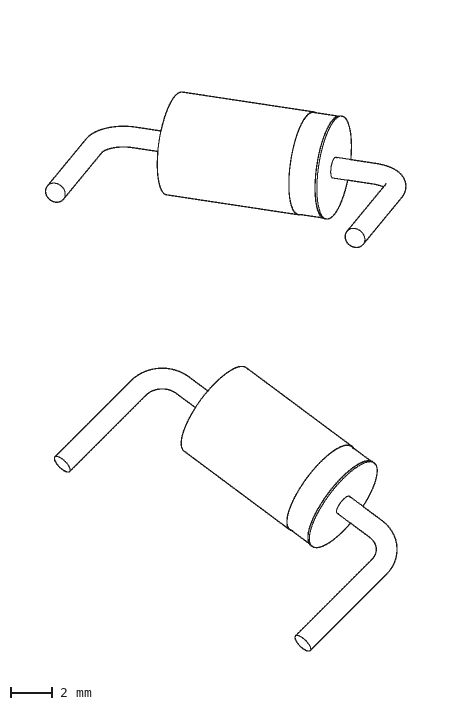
import cadquery as cq

overall_width = 16.24
overall_depth = 9.6

body_diameter = 5.0
body_length = 8.12

band_diameter = 4.95
band_start = 2.63
band_end = 3.96

wire_diameter = 1.0
bend_radius = 1.5

body_radius = body_diameter / 2
lead_x = (overall_width - wire_diameter) / 2
lead_tip_y = body_radius - overall_depth
bend_start_x = lead_x - bend_radius


def cylinder_along_x(diameter, start, end):
    return cq.Workplane("YZ", origin=(start, 0, 0)).circle(diameter / 2).extrude(end - start)


def make_body():
    """Cylinder with the band recessed into its surface."""
    body = cylinder_along_x(body_diameter, -body_length / 2, body_length / 2)
    band_ring = cylinder_along_x(body_diameter, band_start, band_end).cut(
        cylinder_along_x(band_diameter, band_start, band_end)
    )
    return body.cut(band_ring)


def make_lead():
    """Wire from the body centre out along +X, then round the bend to its tip."""
    axial = cylinder_along_x(wire_diameter, 0, bend_start_x)
    bend = (
        cq.Workplane("YZ", origin=(bend_start_x, 0, 0))
        .circle(wire_diameter / 2)
        .revolve(90, (-bend_radius, 0, 0), (-bend_radius, -1, 0))
    )
    leg = (
        cq.Workplane("XZ", origin=(lead_x, -bend_radius, 0))
        .circle(wire_diameter / 2)
        .extrude(-bend_radius - lead_tip_y)
    )
    return axial.union(bend).union(leg)


lead = make_lead()
result = make_body().union(lead).union(lead.mirror("YZ"))